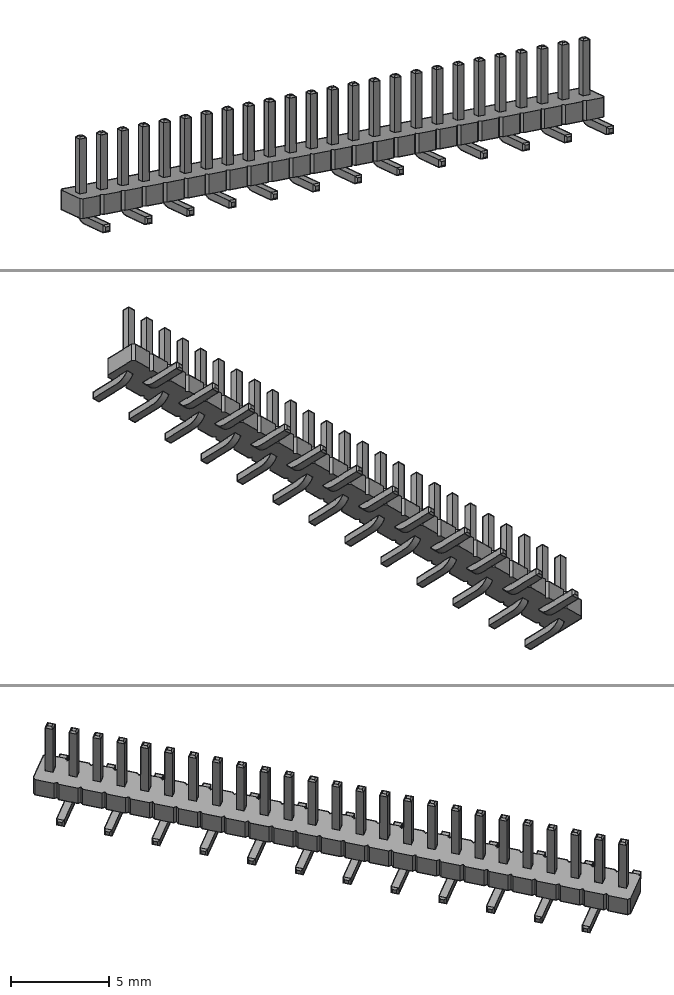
import cadquery as cq
import math

pin_count = 25
pitch = 1.27
pin_width = 0.4

leg_span = 5.0
total_height = 4.5

body_width = 2.0
body_height = 1.05
body_bottom = 0.45
notch_chamfer = 0.13

tip_chamfer = 0.1
bend_outer_radius = 0.9

leg_reach = leg_span / 2
half_pin = pin_width / 2
bend_inner_radius = bend_outer_radius - pin_width
bend_center_x = bend_outer_radius - half_pin
bend_center_z = bend_outer_radius


def make_body_block():
    """One pitch of the body, chamfered at its four vertical corners."""
    return (
        cq.Workplane("XY", origin=(0, 0, body_bottom))
        .rect(body_width, pitch)
        .extrude(body_height)
        .edges("|Z")
        .chamfer(notch_chamfer)
    )


def bend_middle(radius):
    """Halfway point of a quarter-circle bend with the given radius."""
    offset = radius * math.sqrt(0.5)
    return (bend_center_x - offset, bend_center_z - offset)


def make_pin():
    """Square pin bent at a right angle, with its leg along +X."""
    pin = (
        cq.Workplane("XZ", origin=(0, half_pin, 0))
        .moveTo(-half_pin, total_height)
        .lineTo(half_pin, total_height)
        .lineTo(half_pin, bend_center_z)
        .threePointArc(bend_middle(bend_inner_radius), (bend_center_x, pin_width))
        .lineTo(leg_reach, pin_width)
        .lineTo(leg_reach, 0)
        .lineTo(bend_center_x, 0)
        .threePointArc(bend_middle(bend_outer_radius), (-half_pin, bend_center_z))
        .close()
        .extrude(pin_width)
    )
    pin = pin.faces(">Z").chamfer(tip_chamfer)
    return pin.faces(">X").chamfer(tip_chamfer)


body_block = make_body_block()
right_pin = make_pin()
left_pin = right_pin.rotate((0, 0, 0), (0, 0, 1), 180)
first_pin_y = -(pin_count - 1) / 2 * pitch

result = cq.Workplane("XY")
for index in range(pin_count):
    pin = right_pin if index % 2 == 0 else left_pin
    position = (0, first_pin_y + index * pitch, 0)
    result = result.union(body_block.translate(position))
    result = result.union(pin.translate(position))
result = result.clean()